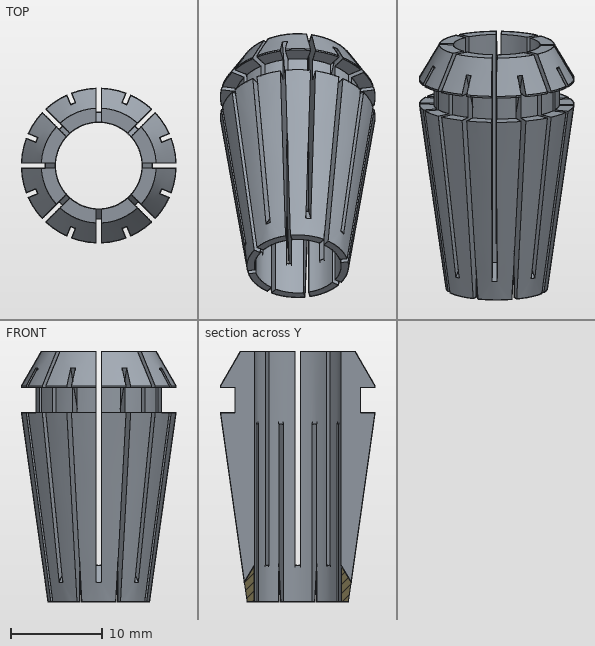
import cadquery as cq
import math

length = 27.5
max_radius = 8.5
bore_radius = 4.75

taper_length = 20.75
taper_half_angle = 8.0
rear_radius = max_radius - taper_length * math.tan(math.radians(taper_half_angle))

groove_width = 2.75
neck_radius = 6.9
rim_width = 0.2
nose_half_angle = 30.0
rim_bottom = taper_length + groove_width
rim_top = rim_bottom + rim_width
nose_radius = max_radius - (length - rim_top) * math.tan(math.radians(nose_half_angle))

slots_per_set = 8
slot_pitch = 360.0 / slots_per_set
slot_width = 0.55
front_floor_slope = math.tan(math.radians(59.0))
rear_ceiling_slope = math.tan(math.radians(67.0))
front_slot_floor = 2.15
rear_slot_ceiling = 25.65
overcut = 1.38


def collet_body():
    """Bored solid of revolution with taper, groove, rim and nose."""
    profile = [
        (bore_radius, 0),
        (rear_radius, 0),
        (max_radius, taper_length),
        (neck_radius, taper_length),
        (neck_radius, rim_bottom),
        (max_radius, rim_bottom),
        (max_radius, rim_top),
        (nose_radius, length),
        (bore_radius, length),
    ]
    return cq.Workplane("XZ").polyline(profile).close().revolve(360, (0, 0), (0, 1))


def slot_cutter(end_radius, end_height, end_slope, open_height):
    """Radial blade from the axis outwards, between its sloping end and open_height.

    The end line passes through (end_radius, end_height), rising outwards by end_slope.
    """
    outer_radius = max_radius + overcut
    axis_height = end_height - end_radius * end_slope
    outer_height = axis_height + outer_radius * end_slope
    outline = [
        (0, axis_height),
        (outer_radius, outer_height),
        (outer_radius, open_height),
        (0, open_height),
    ]
    return cq.Workplane("XZ").polyline(outline).close().extrude(slot_width / 2, both=True)


def cut_slot_set(body, cutter, first_angle):
    """Cut one evenly spaced ring of slots."""
    for index in range(slots_per_set):
        angle = first_angle + index * slot_pitch
        body = body.cut(cutter.rotate((0, 0, 0), (0, 0, 1), angle))
    return body


front_end_radius = rear_radius + front_slot_floor * math.tan(math.radians(taper_half_angle))
front_slot = slot_cutter(front_end_radius, front_slot_floor, -front_floor_slope, length + overcut)

rear_end_radius = nose_radius + (length - rear_slot_ceiling) * math.tan(math.radians(nose_half_angle))
rear_slot = slot_cutter(rear_end_radius, rear_slot_ceiling, rear_ceiling_slope, -overcut)

result = collet_body()
result = cut_slot_set(result, front_slot, 0)
result = cut_slot_set(result, rear_slot, slot_pitch / 2)